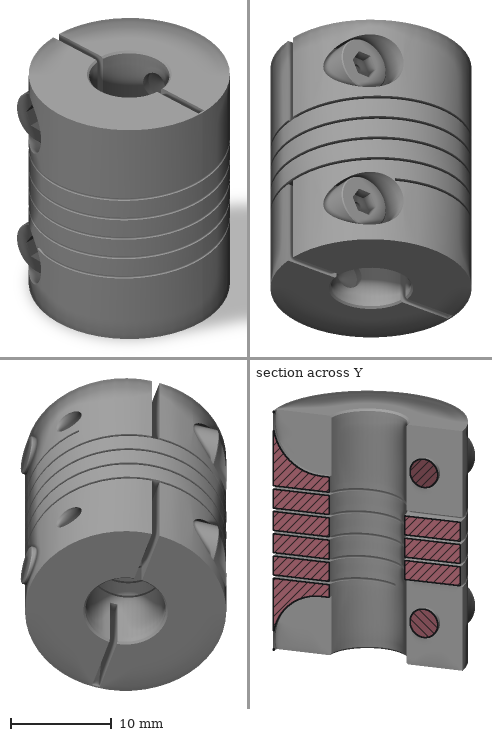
import cadquery as cq
import math

body_height = 25
body_radius = 10
bore_radius = 4
bore_chamfer = 0.2
middle_z = body_height / 2

helix_pitch = 2.32
helix_width = 0.3
helix_start_z = 6.98
helix_start_angle = 247
helix_sweep = 1688
helix_margin = 0.25

slot_width = 0.8
open_slot_angle = 180
lower_slot_turn = 1
upper_slot_turn = 4
hinge_slot_depth = 6.2
hinge_arc_radius = 5.08
hinge_arc_x = 4.88

clamp_x = -6.08
clamp_inset = 4.68
head_radius = 2.75
head_height = 3
head_chamfer = 0.1
head_face_y = -7
seat_y = head_face_y + head_height
counterbore_radius = 3
shank_radius = 1.5
shank_length = 10
shank_end_y = seat_y + shank_length
tapped_radius = 1.2
socket_across_flats = 2.5
socket_depth = 1.2
socket_tilt = -3
socket_pit_radius = 0.5
socket_pit_depth = 0.25

set_inset = 3.5
set_radius = 1.92
set_outer_y = 10.35
set_length = 5.9
set_inner_y = set_outer_y - set_length
set_chamfer = 0.1
set_hole_radius = 1.58
cup_angle = 120
cup_depth = set_hole_radius / math.tan(math.radians(cup_angle / 2))


def both_ends(inset):
    """Heights of a pair of features at the same distance from both end faces."""
    return [inset, body_height - inset]


def rod(radius, x, z, start_y, end_y):
    """Cylinder parallel to Y."""
    plane = cq.Plane(origin=(x, start_y, z), xDir=(1, 0, 0), normal=(0, 1, 0))
    return cq.Workplane(plane).circle(radius).extrude(end_y - start_y)


def blank():
    """Cylinder with a through bore that is chamfered at both ends."""
    cylinder = cq.Workplane("XY").circle(body_radius).circle(bore_radius).extrude(body_height)
    return cylinder.edges("%CIRCLE").edges(cq.selectors.RadiusNthSelector(0)).chamfer(bore_chamfer)


def helical_cut():
    """Rectangular section swept along the helix, from inside the bore to outside the body."""
    rise = helix_pitch * helix_sweep / 360
    mean_radius = (bore_radius + body_radius) / 2
    section_depth = body_radius - bore_radius + 2 * helix_margin
    path = cq.Workplane(cq.Wire.makeHelix(helix_pitch, rise, mean_radius))
    section = cq.Workplane("XZ").center(mean_radius, 0).rect(section_depth, helix_width)
    cut = section.sweep(path, isFrenet=True)
    return cut.rotate((0, 0, 0), (0, 0, 1), helix_start_angle).translate((0, 0, helix_start_z))


def helix_height(angle, turn):
    """Height of the helix where it passes an angle for the given turn."""
    return helix_start_z + helix_pitch * (angle - helix_start_angle + 360 * turn) / 360


def open_slot(start_z, end_z):
    """Slot through the -X wall, between an end face and the spring cut."""
    size_z = end_z - start_z
    box = cq.Workplane("XY").box(body_radius, slot_width, size_z, centered=(False, True, False))
    return box.translate((-body_radius, 0, start_z))


def hinge_slot():
    """Slot in the +X wall at the top, with a round end that leaves a thin hinge at the rim."""
    floor_z = body_height - hinge_slot_depth
    arc_z = floor_z + hinge_arc_radius
    top_angle = math.asin((body_height - arc_z) / hinge_arc_radius)
    top_x = hinge_arc_x + hinge_arc_radius * math.cos(top_angle)
    middle_angle = (top_angle - math.pi / 2) / 2
    arc_middle = (
        hinge_arc_x + hinge_arc_radius * math.cos(middle_angle),
        arc_z + hinge_arc_radius * math.sin(middle_angle),
    )
    outline = (
        cq.Workplane("XZ")
        .moveTo(0, floor_z)
        .lineTo(hinge_arc_x, floor_z)
        .threePointArc(arc_middle, (top_x, body_height))
        .lineTo(0, body_height)
        .close()
    )
    return outline.extrude(slot_width / 2, both=True)


def make_body():
    """Coupling body with its spring cut, slots and stepped screw holes."""
    body = blank()
    top_slot = hinge_slot()
    body = body.cut(top_slot)
    body = body.cut(top_slot.mirror("XY", (0, 0, middle_z)))
    for z in both_ends(clamp_inset):
        body = body.cut(rod(counterbore_radius, clamp_x, z, -body_radius, seat_y))
        body = body.cut(rod(shank_radius, clamp_x, z, seat_y, shank_end_y))
        body = body.cut(rod(tapped_radius, clamp_x, z, shank_end_y, body_radius))
    for z in both_ends(set_inset):
        body = body.cut(rod(set_hole_radius, 0, z, 0, set_inner_y))
        body = body.cut(rod(set_radius, 0, z, set_inner_y, body_radius))
    body = body.cut(open_slot(0, helix_height(open_slot_angle, lower_slot_turn)))
    body = body.cut(open_slot(helix_height(open_slot_angle, upper_slot_turn), body_height))
    return body.cut(helical_cut())


def make_clamp_screw(z):
    """Cap screw with a hexagon socket and a small pit in the socket floor."""
    head = rod(head_radius, clamp_x, z, head_face_y, seat_y).faces("<Y").chamfer(head_chamfer)
    screw = head.union(rod(shank_radius, clamp_x, z, seat_y, shank_end_y))
    socket_floor_y = head_face_y + socket_depth
    socket_plane = cq.Plane(origin=(clamp_x, head_face_y, z), xDir=(1, 0, 0), normal=(0, -1, 0))
    across_corners = socket_across_flats / math.cos(math.pi / 6)
    socket = cq.Workplane(socket_plane).transformed(rotate=(0, 0, socket_tilt))
    screw = screw.cut(socket.polygon(6, across_corners).extrude(-socket_depth))
    pit_end_y = socket_floor_y + socket_pit_depth
    return screw.cut(rod(socket_pit_radius, clamp_x, z, socket_floor_y, pit_end_y))


def make_set_screw(z):
    """Headless screw, chamfered at its outer end, with a cup as wide as the hole at its inner end."""
    screw = rod(set_radius, 0, z, set_inner_y, set_outer_y).faces(">Y").chamfer(set_chamfer)
    inner_end = cq.Vector(0, set_inner_y, z)
    cup = cq.Solid.makeCone(set_hole_radius, 0, cup_depth, inner_end, cq.Vector(0, 1, 0))
    return screw.cut(cq.Workplane(cup))


body = make_body()
clamp_screws = [make_clamp_screw(z).val() for z in both_ends(clamp_inset)]
set_screws = [make_set_screw(z).val() for z in both_ends(set_inset)]

result = cq.Compound.makeCompound([body.val(), *clamp_screws, *set_screws])